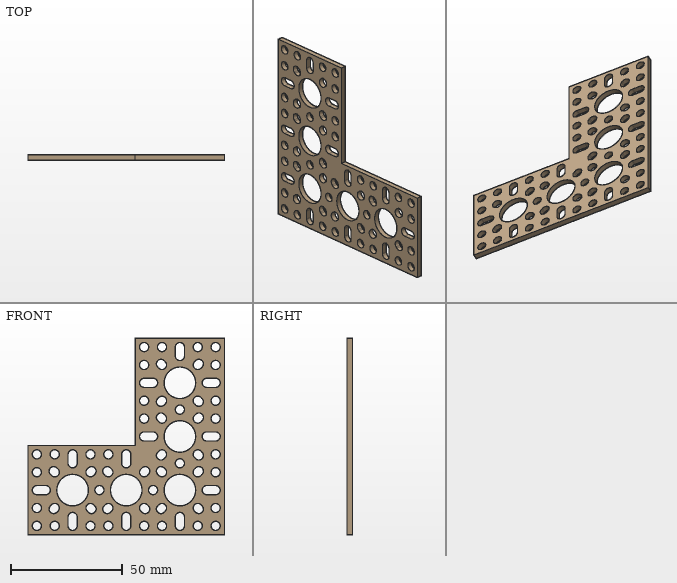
import cadquery as cq
import math

thickness = 2.5
grid = 8.0
pitch = 3 * grid
edge_margin = 4.0
hole_diameter = 4.0
bore_diameter = 14.0
bolt_circle_diameter = 24.0
edge_slot_travel = 4.0
cells_per_arm = 3

ring = 2 * grid
half_cell = ring + edge_margin
arm_width = 2 * half_cell
side = arm_width + (cells_per_arm - 1) * pitch
half_side = side / 2
bridge_offset = pitch / 2
diagonal_inner = math.hypot(grid, grid)
diagonal_outer = bolt_circle_diameter / 2
slot_centre = ring - edge_slot_travel / 2

last = cells_per_arm - 1
cells = [(column, 0) for column in range(cells_per_arm)]
cells += [(last, row) for row in range(1, cells_per_arm)]
directions = [(1, 0), (0, 1), (-1, 0), (0, -1)]
diagonals = [(1, 1), (-1, 1), (-1, -1), (1, -1)]


def cell_centre(cell):
    """Position of a cell's bore, with the plate's square envelope centred on the origin."""
    column, row = cell
    return (half_cell - half_side + column * pitch, half_cell - half_side + row * pitch)


def has_neighbour(cell, direction):
    return (cell[0] + direction[0], cell[1] + direction[1]) in cells


def shifted(point, direction, along, across=0.0):
    """Move a point along a direction and across it (a quarter turn to the left)."""
    dx, dz = direction
    return (point[0] + along * dx - across * dz, point[1] + along * dz + across * dx)


def back_plane():
    """Sketch plane on the plate's +Y face; local x, y run along X, Z and extrusions run toward -Y."""
    return cq.Workplane("XZ", origin=(0, thickness / 2, 0))


def round_cutter(points, diameter):
    return back_plane().pushPoints(points).circle(diameter / 2).extrude(thickness)


def slot_cutter(points, travel, angle):
    length = travel + hole_diameter
    return back_plane().pushPoints(points).slot2D(length, hole_diameter, angle).extrude(thickness)


def blank():
    """L-shaped plate with its inner corner at the upper left."""
    inner_x = half_side - arm_width
    inner_z = arm_width - half_side
    outline = [
        (-half_side, -half_side),
        (half_side, -half_side),
        (half_side, half_side),
        (inner_x, half_side),
        (inner_x, inner_z),
        (-half_side, inner_z),
    ]
    return back_plane().polyline(outline).close().extrude(thickness)


def bores():
    return round_cutter([cell_centre(cell) for cell in cells], bore_diameter)


def diagonal_slot_cutters():
    """Short slots on the diagonals, from the square grid out to the bolt circle."""
    middle = (diagonal_inner + diagonal_outer) / 2 / math.sqrt(2)
    cutters = []
    for dx, dz in diagonals:
        points = [(x + dx * middle, z + dz * middle) for x, z in map(cell_centre, cells)]
        angle = math.degrees(math.atan2(dz, dx))
        cutters.append(slot_cutter(points, diagonal_outer - diagonal_inner, angle))
    return cutters


def edge_slot_cutters():
    """One radial slot on each cell side that faces a plate edge."""
    cutters = []
    for direction in directions:
        open_cells = [cell for cell in cells if not has_neighbour(cell, direction)]
        points = [shifted(cell_centre(cell), direction, slot_centre) for cell in open_cells]
        angle = math.degrees(math.atan2(direction[1], direction[0]))
        cutters.append(slot_cutter(points, edge_slot_travel, angle))
    return cutters


def bridge_holes():
    """One hole midway between each two neighbouring bores."""
    points = []
    for cell in cells:
        for direction in [(1, 0), (0, 1)]:
            if has_neighbour(cell, direction):
                points.append(shifted(cell_centre(cell), direction, bridge_offset))
    return round_cutter(points, hole_diameter)


def edge_holes():
    """Round holes along the plate edges, leaving the inner corner solid."""
    points = set()
    slotted = set()
    for cell in cells:
        centre = cell_centre(cell)
        for dx, dz in diagonals:
            slotted.add((centre[0] + dx * grid, centre[1] + dz * grid))
        for direction in directions:
            if not has_neighbour(cell, direction):
                for across in (-ring, -grid, grid, ring):
                    points.add(shifted(centre, direction, ring, across))
    corner_x, corner_z = cell_centre((last, 0))
    inner_corner = (corner_x - ring, corner_z + ring)
    return round_cutter(sorted(points - slotted - {inner_corner}), hole_diameter)


result = blank().cut(bores()).cut(bridge_holes()).cut(edge_holes())
for cutter in diagonal_slot_cutters() + edge_slot_cutters():
    result = result.cut(cutter)